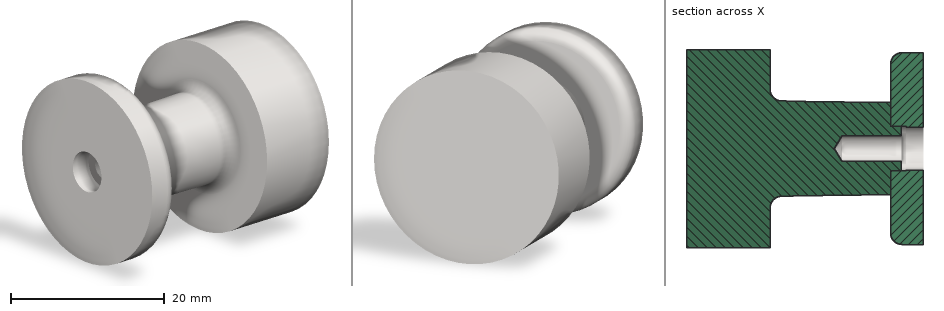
import cadquery as cq
import math

overall_length = 30.8

disc_radius = 25.0 / 2
disc_thickness = 4.3
disc_edge_round = 1.55
mouth_radius = 5.5 / 2
mouth_depth = 2.3
socket_radius = 5.7 / 2

base_radius = 25.8 / 2
base_thickness = 10.9
shank_front_radius = 12.1 / 2
shank_rear_radius = 12.47 / 2
shank_fillet = 1.45
spigot_front = 2.9
drill_radius = 3.23 / 2
drill_depth = 7.7
drill_tip_angle = 118.0

base_front = overall_length - base_thickness
drill_end = spigot_front + drill_depth
drill_tip = drill_end + drill_radius / math.tan(math.radians(drill_tip_angle / 2))


def revolve_about_y(profile):
    """Close a half profile drawn as (radius, y) and turn it about the Y axis."""
    return profile.close().revolve(360, (0, 0, 0), (0, 1, 0))


def make_disc():
    """Round plate with a rounded rear edge and a hole that widens behind its mouth."""
    round_start = disc_thickness - disc_edge_round
    profile = (
        cq.Workplane("XY")
        .moveTo(mouth_radius, 0)
        .lineTo(disc_radius, 0)
        .lineTo(disc_radius, round_start)
        .radiusArc((disc_radius - disc_edge_round, disc_thickness), -disc_edge_round)
        .lineTo(socket_radius, disc_thickness)
        .lineTo(socket_radius, mouth_depth)
        .lineTo(mouth_radius, mouth_depth)
    )
    return revolve_about_y(profile)


def make_knob():
    """Base, filleted shank and drilled spigot as one turned body."""
    profile = (
        cq.Workplane("XY")
        .moveTo(0, drill_tip)
        .lineTo(drill_radius, drill_end)
        .lineTo(drill_radius, spigot_front)
        .lineTo(socket_radius, spigot_front)
        .lineTo(socket_radius, disc_thickness)
        .lineTo(shank_front_radius, disc_thickness)
        .lineTo(shank_rear_radius, base_front - shank_fillet)
        .radiusArc((shank_rear_radius + shank_fillet, base_front), shank_fillet)
        .lineTo(base_radius, base_front)
        .lineTo(base_radius, overall_length)
        .lineTo(0, overall_length)
    )
    return revolve_about_y(profile)


disc = make_disc()
knob = make_knob()

result = cq.Compound.makeCompound([disc.val(), knob.val()])